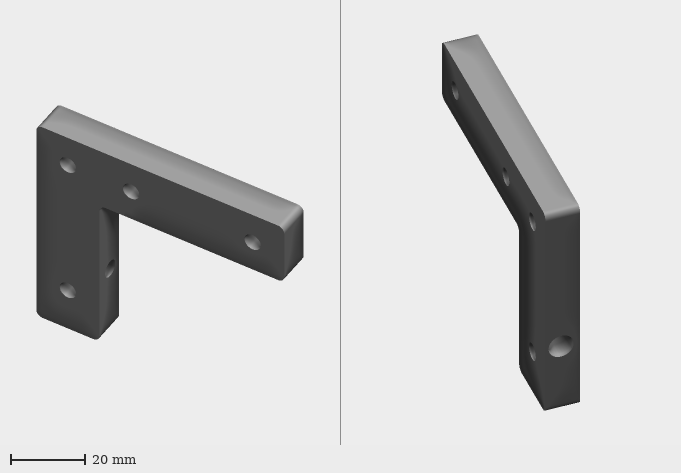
import cadquery as cq

length = 78.5
height = 70.0
thickness = 10.0
arm_width = 20.0
corner_radius = 2.0

mount_hole_diameter = 5.2
arm_center = arm_width / 2
second_hole_offset = 20.0
end_hole_margin = 10.0
lower_hole_offset = 46.0

cross_hole_diameter = 5.2
taper_entry_diameter = 7.3
taper_length = 12.0
cross_hole_y = 5.5
cross_hole_height = 22.5


def l_bracket():
    """L-shaped plate, front face at Y = 0, with every corner rounded."""
    outline = [
        (0, 0),
        (arm_width, 0),
        (arm_width, height - arm_width),
        (length, height - arm_width),
        (length, height),
        (0, height),
    ]
    plate = cq.Workplane("XZ").polyline(outline).close().extrude(-thickness)
    return plate.edges("|Y").fillet(corner_radius)


def mounting_holes():
    """Straight cylinders along Y: three in the top arm, one in the vertical arm."""
    top_row_z = height - arm_center
    centers = [
        (arm_center, top_row_z),
        (arm_center + second_hole_offset, top_row_z),
        (length - end_hole_margin, top_row_z),
        (arm_center, top_row_z - lower_hole_offset),
    ]
    return (
        cq.Workplane("XZ")
        .pushPoints(centers)
        .circle(mount_hole_diameter / 2)
        .extrude(-thickness)
    )


def cross_hole():
    """Hole along X: a cone narrowing from the X = 0 side, then a straight bore."""
    taper = cq.Workplane(
        cq.Solid.makeCone(
            taper_entry_diameter / 2,
            cross_hole_diameter / 2,
            taper_length,
            pnt=cq.Vector(0, cross_hole_y, cross_hole_height),
            dir=cq.Vector(1, 0, 0),
        )
    )
    bore = (
        cq.Workplane("YZ")
        .center(cross_hole_y, cross_hole_height)
        .circle(cross_hole_diameter / 2)
        .extrude(arm_width)
    )
    return taper.union(bore)


result = l_bracket().cut(mounting_holes()).cut(cross_hole())